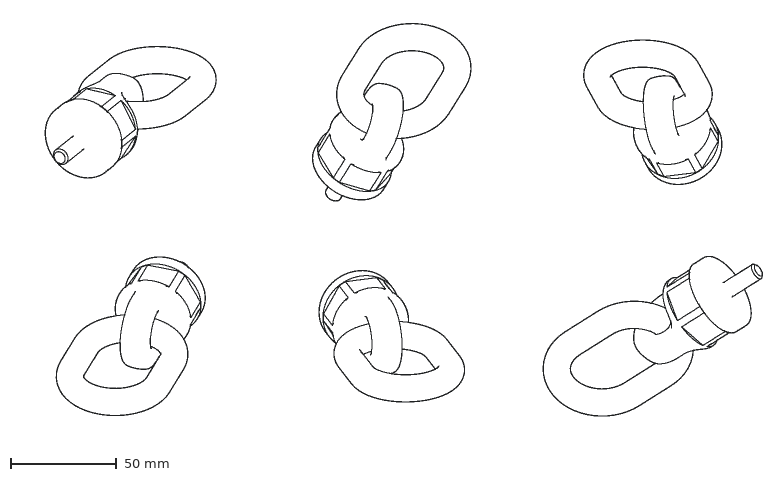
import cadquery as cq
import math


tolerance = 0.01

flange_diameter = 38.0
flange_thickness = 7.0
flange_edge_radius = 0.9
stud_diameter = 8.0
stud_length = 20.0
stud_root_radius = 1.1
stud_tip_chamfer = 1.0

hex_across_flats = 34.1
body_diameter = 37.5
hex_top = 21.0
shoulder_top = 25.0
dome_radius = flange_diameter / 2
dome_center = 35.0
eye_thickness = 13.0
eye_flank_radius = 6.4
eye_hole_diameter = 17.0
eye_hole_center = 33.6
eye_edge_radius = 3.0

wire_diameter = eye_thickness
link_width = 56.0
link_straight = 20.0
overall_length = 124.9
link_end = overall_length - stud_length


def cylinder_along_y(diameter, start, length):
    """Cylinder on the bolt axis from Y = start towards +Y."""
    plane = cq.Plane(origin=(0, start, 0), xDir=(1, 0, 0), normal=(0, 1, 0))
    return cq.Workplane(plane).circle(diameter / 2).extrude(length)


def make_bolt():
    """Flange and stud in one piece, with a rounded stud root."""
    flange = cylinder_along_y(flange_diameter, 0, flange_thickness)
    flange = flange.faces("<Y").edges().fillet(flange_edge_radius)
    stud = cylinder_along_y(stud_diameter, -stud_length, stud_length)
    stud = stud.faces("<Y").chamfer(stud_tip_chamfer)
    root_corner = cq.Vector(stud_diameter, tolerance, stud_diameter)
    stud_root = cq.selectors.BoxSelector((-root_corner).toTuple(), root_corner.toTuple())
    return flange.union(stud).edges(stud_root).fillet(stud_root_radius)


def make_hexagon():
    """Wrench hexagon, flats facing +Z and -Z, with corners turned to the body diameter."""
    corner_diameter = hex_across_flats / math.cos(math.pi / 6)
    height = hex_top - flange_thickness
    plane = cq.Plane(origin=(0, flange_thickness, 0), xDir=(1, 0, 0), normal=(0, 1, 0))
    hexagon = cq.Workplane(plane).polygon(6, corner_diameter).extrude(height)
    return hexagon.intersect(cylinder_along_y(body_diameter, flange_thickness, height))


def make_dome():
    """Round body above the hexagon: a slightly flared neck tangent to a spherical dome."""
    body_radius = body_diameter / 2
    rise = dome_center - hex_top
    tangent_angle = math.acos(dome_radius / math.hypot(body_radius, rise)) - math.atan2(rise, body_radius)
    diagonal = dome_radius * math.sqrt(0.5)
    return (
        cq.Workplane("XY")
        .moveTo(0, hex_top)
        .lineTo(body_radius, hex_top)
        .lineTo(dome_radius * math.cos(tangent_angle), dome_center + dome_radius * math.sin(tangent_angle))
        .threePointArc((diagonal, dome_center + diagonal), (0, dome_center + dome_radius))
        .close()
        .revolve(360, (0, 0, 0), (0, 1, 0))
    )


def make_flank_cutter(side):
    """Removes the dome beside the eye, leaving a concave flank running into the shoulder."""
    flank = eye_thickness / 2
    outside = flange_diameter
    above = dome_center + 2 * dome_radius
    return (
        cq.Workplane("XY")
        .moveTo(side * flank, above)
        .lineTo(side * flank, shoulder_top + eye_flank_radius)
        .radiusArc((side * (flank + eye_flank_radius), shoulder_top), -side * eye_flank_radius)
        .lineTo(side * outside, shoulder_top)
        .lineTo(side * outside, above)
        .close()
        .extrude(flange_diameter, both=True)
    )


def on_eye_sides(edge):
    """True if the whole edge lies on or outside the two side faces of the eye."""
    ends_and_middle = [edge.positionAt(fraction) for fraction in (0, 0.5, 1)]
    return all(abs(point.x) > eye_thickness / 2 - tolerance for point in ends_and_middle)


def round_eye_rim(eye):
    """Round the curved outer rim of the eye and shoulder on both sides."""
    def is_rim(edge):
        above_hexagon = edge.Center().y > hex_top + tolerance
        return above_hexagon and edge.geomType() != "LINE" and on_eye_sides(edge)

    return eye.edges().filter(is_rim).fillet(eye_edge_radius)


def cut_eye_hole(eye):
    """Bore the eye along X and round both mouths of the hole."""
    hole_radius = eye_hole_diameter / 2
    bore = cq.Workplane("YZ").center(eye_hole_center, 0).circle(hole_radius)
    bored = eye.cut(bore.extrude(body_diameter, both=True))

    def is_hole_mouth(edge):
        middle = edge.positionAt(0.5)
        distance = math.hypot(middle.y - eye_hole_center, middle.z)
        return abs(distance - hole_radius) < tolerance and on_eye_sides(edge)

    return bored.edges().filter(is_hole_mouth).fillet(eye_edge_radius)


def make_housing(link):
    """Hexagon and eye in one piece, with a seat in the eye where the link bears."""
    eye = make_dome()
    for side in (1, -1):
        eye = eye.cut(make_flank_cutter(side))
    eye = cut_eye_hole(round_eye_rim(eye))
    return make_hexagon().union(eye).cut(link)


def make_link():
    """Stadium-shaped chain link of round wire, lying in the XY plane."""
    bend_radius = (link_width - wire_diameter) / 2
    upper_center = link_end - link_width / 2
    lower_center = upper_center - link_straight
    path = (
        cq.Workplane("XY")
        .moveTo(bend_radius, lower_center)
        .lineTo(bend_radius, upper_center)
        .threePointArc((0, upper_center + bend_radius), (-bend_radius, upper_center))
        .lineTo(-bend_radius, lower_center)
        .threePointArc((0, lower_center - bend_radius), (bend_radius, lower_center))
        .close()
    )
    section = cq.Workplane("XZ", origin=(bend_radius, lower_center, 0)).circle(wire_diameter / 2)
    return section.sweep(path)


bolt = make_bolt()
link = make_link()
housing = make_housing(link)

result = cq.Compound.makeCompound([bolt.val(), housing.val(), link.val()])